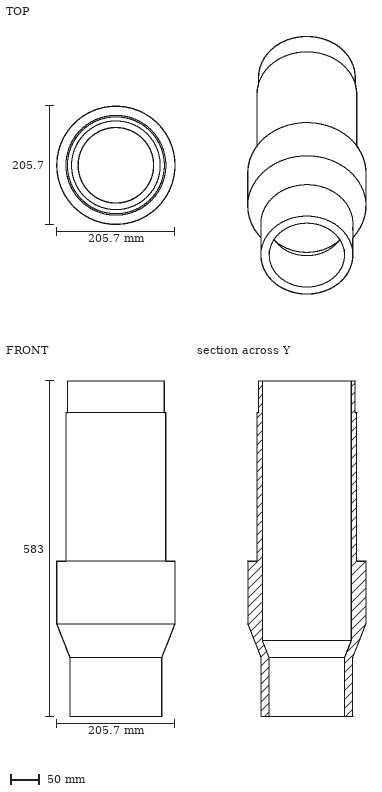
import cadquery as cq

SPIGOT_DIAMETER = 160.0
COLLAR_DIAMETER = 205.7
SLEEVE_DIAMETER = 173.5
PIPE_DIAMETER = 168.3

SPIGOT_WALL = 14.6
PIPE_WALL = 7.1

SPIGOT_LENGTH = 103.0
TAPER_LENGTH = 58.0
COLLAR_LENGTH = 109.0
SLEEVE_LENGTH = 258.0
TOTAL_LENGTH = 583.0

TAPER_BOTTOM = SPIGOT_LENGTH
TAPER_TOP = TAPER_BOTTOM + TAPER_LENGTH
COLLAR_TOP = TAPER_TOP + COLLAR_LENGTH
SLEEVE_TOP = COLLAR_TOP + SLEEVE_LENGTH

SPIGOT_RADIUS = SPIGOT_DIAMETER / 2
COLLAR_RADIUS = COLLAR_DIAMETER / 2
SLEEVE_RADIUS = SLEEVE_DIAMETER / 2
PIPE_RADIUS = PIPE_DIAMETER / 2
SPIGOT_BORE_RADIUS = SPIGOT_RADIUS - SPIGOT_WALL
PIPE_BORE_RADIUS = PIPE_RADIUS - PIPE_WALL

TAPER_SLOPE = (COLLAR_RADIUS - SPIGOT_RADIUS) / TAPER_LENGTH
BORE_CONE_LENGTH = (PIPE_BORE_RADIUS - SPIGOT_BORE_RADIUS) / TAPER_SLOPE
BORE_CONE_TOP = TAPER_BOTTOM + BORE_CONE_LENGTH


def revolve_about_z(half_profile):
    """Turn a closed (radius, height) outline a full circle around the Z axis."""
    outline = [(-radius, height) for radius, height in half_profile]
    return cq.Workplane("XZ").polyline(outline).close().revolve(360, (0, 0, 0), (0, 1, 0))


def make_outer_body():
    """Solid spigot, taper, collar, sleeve and pipe end stacked on one axis."""
    return revolve_about_z([
        (0, 0),
        (SPIGOT_RADIUS, 0),
        (SPIGOT_RADIUS, TAPER_BOTTOM),
        (COLLAR_RADIUS, TAPER_TOP),
        (COLLAR_RADIUS, COLLAR_TOP),
        (SLEEVE_RADIUS, COLLAR_TOP),
        (SLEEVE_RADIUS, SLEEVE_TOP),
        (PIPE_RADIUS, SLEEVE_TOP),
        (PIPE_RADIUS, TOTAL_LENGTH),
        (0, TOTAL_LENGTH),
    ])


def make_bore():
    """Through bore that widens from the spigot to the pipe through a short cone."""
    return revolve_about_z([
        (0, 0),
        (SPIGOT_BORE_RADIUS, 0),
        (SPIGOT_BORE_RADIUS, TAPER_BOTTOM),
        (PIPE_BORE_RADIUS, BORE_CONE_TOP),
        (PIPE_BORE_RADIUS, TOTAL_LENGTH),
        (0, TOTAL_LENGTH),
    ])


result = make_outer_body().cut(make_bore())